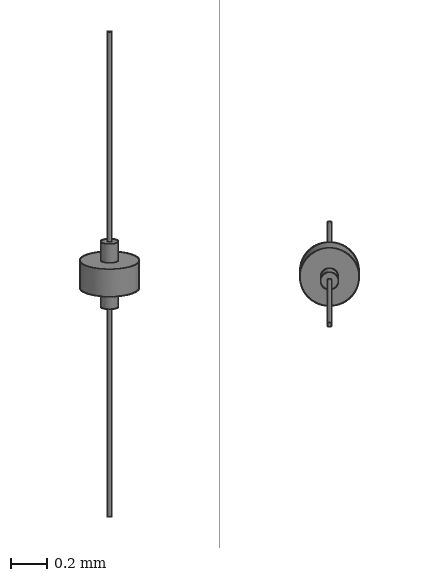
import cadquery as cq

wire_length = 2.81
wire_diameter = 0.025
hub_length = 0.38
hub_diameter = 0.098
disc_thickness = 0.16
disc_diameter = 0.33


def centred_cylinder(diameter, length):
    """Cylinder along Z, centred on the origin."""
    return cq.Workplane("XY").cylinder(length, diameter / 2)


wire = centred_cylinder(wire_diameter, wire_length)
hub = centred_cylinder(hub_diameter, hub_length)
disc = centred_cylinder(disc_diameter, disc_thickness)

result = disc.union(hub).union(wire)